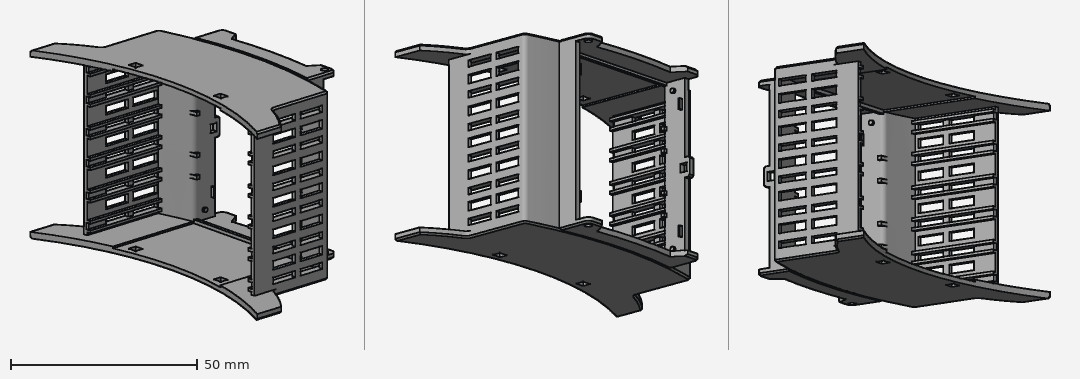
import cadquery as cq
import math

HALF_HEIGHT = 26.8
CHAMFER = 0.5
SELECT_REACH = 0.45

TIP_HALF_WIDTH = 44.85
FRONT_APEX_Y = 10.7
BACK_APEX_Y = 41.0
FRONT_RADIUS = (TIP_HALF_WIDTH ** 2 + FRONT_APEX_Y ** 2) / (2 * FRONT_APEX_Y)
ARC_CENTER_Y = FRONT_APEX_Y - FRONT_RADIUS
BACK_RADIUS = BACK_APEX_Y - ARC_CENTER_Y

PLATE_THICKNESS = 1.9
PLATE_INNER_Z = HALF_HEIGHT - PLATE_THICKNESS
FRONT_ALLOWANCE = 1.8
BODY_HALF_WIDTH = 33.6
BODY_CORNER_RADIUS = 1.4
WING_TIP_Y = 8.9
WING_ROOT_Y = 16.0
WING_BULGE = 0.45
WING_ROOT_FILLET = 1.8
RECESS_HALF_WIDTH = 21.2
RECESS_DEPTH = 0.5
WINDOW_X = 16.8
WINDOW_Y = 12.65
WINDOW_WIDTH = 2.8
WINDOW_LENGTH = 2.5

TAB_HALF_WIDTH = 22.5
TAB_THICKNESS = 1.6
TAB_INNER_Z = HALF_HEIGHT - TAB_THICKNESS
TAB_BACK_Y = 49.8
TAB_CORNER_RADIUS = 1.8
EAR_INNER_X = 17.2
EAR_FOOT_X = 14.7
TAB_MIDDLE_Y = 46.6
PIN_HOLE_X = 20.2
PIN_HOLE_Y = 47.45
PIN_HOLE_DIAMETER = 2.1
GROOVE_WIDTH = 0.3

RIDGE_FRONT_Y = 37.9
RIDGE_BACK_Y = 39.0
RIDGE_Z = 24.4

SIDE_WALL = 1.3
SIDE_INNER_X = BODY_HALF_WIDTH - SIDE_WALL
WALL_TOP_Z = HALF_HEIGHT - PLATE_THICKNESS / 2
SIDE_WALL_FRONT_Y = 9.3
BACK_WALL = 1.5
INNER_RADIUS = BACK_RADIUS - BACK_WALL
NECK_INNER_X = 20.9
NECK_ROUND_RADIUS = 1.4
LEFT_NECK_BACK_Y = 45.5
RIGHT_NECK_BACK_Y = 45.0

SLOT_LENGTH = 8.0
SLOT_FRONT_ENDS_Y = (16.3, 26.3)
LEFT_SLOT_EXTRA = 0.7
CARD_SLOT_HEIGHT = 1.9
VENT_SLOT_HEIGHT = 2.5
CARD_Z = (4.4, 13.6, 22.3)
VENT_Z = (0.0, 9.0, 17.9)
RAIL_THICKNESS = 0.8
RAIL_PROTRUSION = 1.2
CHANNEL_HEIGHT = 1.9
RAIL_OFFSET = (CHANNEL_HEIGHT + RAIL_THICKNESS) / 2
LEAD_IN_DEPTH = 0.3
LEAD_IN_LENGTH = 0.5

BUMP_X = 19.9
RIB_Z = (5.9, 12.2)
RIB_THICKNESS = 1.1
RIB_BACK_Y = 39.0
CATCH_Z = 17.9
CATCH_HEIGHT = 3.05
CATCH_LENGTH = 0.5
CATCH_SETBACK = 0.4
CATCH_BACK_Y = RIGHT_NECK_BACK_Y - CATCH_SETBACK
KNOB_X = 20.3
KNOB_Y = 41.5
KNOB_Z = 22.3
KNOB_DIAMETER = 1.35
CLIP_BACK_Y = 47.3
CLIP_HEIGHT = 5.7
CLIP_CORNER = 0.5
CLIP_WINDOW_FRONT_Y = 43.95
CLIP_WINDOW_BACK_Y = 46.2
CLIP_WINDOW_HEIGHT = 2.5


def box(x0, x1, y0, y1, z0, z1):
    """Box between two opposite corners."""
    return cq.Workplane("XY").box(x1 - x0, y1 - y0, z1 - z0, centered=False).translate((x0, y0, z0))


def disc(radius, z0, z1):
    """Upright disc about the common arc centre."""
    return cq.Workplane("XY", origin=(0, ARC_CENTER_Y, z0)).circle(radius).extrude(z1 - z0)


def both_ends(solid):
    """The solid together with its mirror image about Z = 0."""
    return solid.union(solid.mirror("XY"))


def both_sides(solid):
    """The solid together with its mirror image about X = 0."""
    return solid.union(solid.mirror("YZ"))


def arc_y(radius, x):
    """Y at a given X on an arc about the common centre."""
    return ARC_CENTER_Y + math.sqrt(radius ** 2 - x ** 2)


def near_y(y):
    """Selector for edges whose centre lies close to a given Y."""
    return cq.selectors.BoxSelector(
        (-TIP_HALF_WIDTH, y - SELECT_REACH, -HALF_HEIGHT),
        (TIP_HALF_WIDTH, y + SELECT_REACH, HALF_HEIGHT),
    )


def body_plate():
    """Upper end plate: a curved band with two wings, bevelled everywhere but along the front arc."""
    corner_y = arc_y(BACK_RADIUS, BODY_HALF_WIDTH)
    run = TIP_HALF_WIDTH - BODY_HALF_WIDTH
    rise = WING_ROOT_Y - WING_TIP_Y
    slant = math.hypot(run, rise)
    bulge_x = BODY_HALF_WIDTH + run / 2 + WING_BULGE * rise / slant
    bulge_y = WING_TIP_Y + rise / 2 + WING_BULGE * run / slant
    plate = (
        cq.Workplane("XY", origin=(0, 0, PLATE_INNER_Z))
        .moveTo(-TIP_HALF_WIDTH, -FRONT_ALLOWANCE)
        .lineTo(TIP_HALF_WIDTH, -FRONT_ALLOWANCE)
        .lineTo(TIP_HALF_WIDTH, WING_TIP_Y)
        .threePointArc((bulge_x, bulge_y), (BODY_HALF_WIDTH, WING_ROOT_Y))
        .lineTo(BODY_HALF_WIDTH, corner_y)
        .threePointArc((0, BACK_APEX_Y), (-BODY_HALF_WIDTH, corner_y))
        .lineTo(-BODY_HALF_WIDTH, WING_ROOT_Y)
        .threePointArc((-bulge_x, bulge_y), (-TIP_HALF_WIDTH, WING_TIP_Y))
        .close()
        .extrude(PLATE_THICKNESS)
    )
    plate = plate.edges("|Z").edges(near_y(corner_y)).fillet(BODY_CORNER_RADIUS)
    plate = plate.edges("|Z").edges(near_y(WING_ROOT_Y)).fillet(WING_ROOT_FILLET)
    plate = plate.faces(">Z").chamfer(CHAMFER)
    return plate.cut(disc(FRONT_RADIUS, 0, HALF_HEIGHT))


def hinge_tab():
    """Upper hinge tab with two ears, bevelled along its sides and the ends of the ears."""
    middle_radius = TAB_MIDDLE_Y - ARC_CENTER_Y
    foot_y = arc_y(middle_radius, EAR_FOOT_X)
    tab = box(-TAB_HALF_WIDTH, TAB_HALF_WIDTH, RIDGE_BACK_Y, TAB_BACK_Y, TAB_INNER_Z, HALF_HEIGHT)
    tab = tab.edges("|Z and >Y").fillet(TAB_CORNER_RADIUS)
    tab = tab.faces(">Z").edges("not <Y").chamfer(CHAMFER)
    notch = (
        cq.Workplane("XY", origin=(0, 0, TAB_INNER_Z))
        .moveTo(-EAR_FOOT_X, foot_y)
        .threePointArc((0, TAB_MIDDLE_Y), (EAR_FOOT_X, foot_y))
        .lineTo(EAR_INNER_X, TAB_BACK_Y)
        .lineTo(-EAR_INNER_X, TAB_BACK_Y)
        .close()
        .extrude(TAB_THICKNESS)
    )
    pin_hole = (
        cq.Workplane("XY", origin=(PIN_HOLE_X, PIN_HOLE_Y, TAB_INNER_Z))
        .circle(PIN_HOLE_DIAMETER / 2)
        .extrude(TAB_THICKNESS)
    )
    groove_cut = disc(BACK_RADIUS + GROOVE_WIDTH, HALF_HEIGHT - CHAMFER, HALF_HEIGHT)
    return tab.cut(notch).cut(pin_hole).cut(groove_cut)


def end_plate():
    """Upper end plate with its tab, recess, ridge and square windows."""
    recess = box(
        -RECESS_HALF_WIDTH, RECESS_HALF_WIDTH, 0, RIDGE_FRONT_Y, PLATE_INNER_Z, PLATE_INNER_Z + RECESS_DEPTH
    )
    ridge = box(
        -RECESS_HALF_WIDTH, RECESS_HALF_WIDTH, RIDGE_FRONT_Y, RIDGE_BACK_Y, RIDGE_Z, PLATE_INNER_Z
    )
    step = box(-NECK_INNER_X, NECK_INNER_X, RIDGE_BACK_Y, BACK_APEX_Y, PLATE_INNER_Z, TAB_INNER_Z)
    window = box(
        WINDOW_X - WINDOW_WIDTH / 2,
        WINDOW_X + WINDOW_WIDTH / 2,
        WINDOW_Y - WINDOW_LENGTH / 2,
        WINDOW_Y + WINDOW_LENGTH / 2,
        PLATE_INNER_Z,
        HALF_HEIGHT,
    )
    return body_plate().cut(recess).cut(step).union(hinge_tab()).union(ridge).cut(both_sides(window))


def body_walls():
    """Side walls and curved back walls, open at the front and between the neck walls."""

    def block(half_width, front_y, back_radius):
        solid = box(-half_width, half_width, front_y, BACK_APEX_Y, -WALL_TOP_Z, WALL_TOP_Z)
        return solid.intersect(disc(back_radius, -WALL_TOP_Z, WALL_TOP_Z))

    outside = block(BODY_HALF_WIDTH, SIDE_WALL_FRONT_Y, BACK_RADIUS)
    corner_y = arc_y(BACK_RADIUS, BODY_HALF_WIDTH)
    outside = outside.edges("|Z").edges(near_y(corner_y)).fillet(BODY_CORNER_RADIUS)
    return outside.cut(block(SIDE_INNER_X, 0, INNER_RADIUS))


def neck_wall(back_y):
    """Neck wall on the +X side, running from the back wall to the given Y."""
    front_y = arc_y(BACK_RADIUS - BACK_WALL / 2, TAB_HALF_WIDTH)
    return box(NECK_INNER_X, TAB_HALF_WIDTH, front_y, back_y, -WALL_TOP_Z, WALL_TOP_Z)


def walls():
    """All upright walls with the rounded corners where the back walls meet the neck walls."""
    opening = box(-NECK_INNER_X, NECK_INNER_X, 0, TAB_BACK_Y, -HALF_HEIGHT, HALF_HEIGHT)
    shell = body_walls().cut(opening)
    shell = shell.union(neck_wall(RIGHT_NECK_BACK_Y)).union(neck_wall(LEFT_NECK_BACK_Y).mirror("YZ"))
    corner_y = arc_y(INNER_RADIUS, NECK_INNER_X)
    reach = NECK_INNER_X + SELECT_REACH
    inner_edges = cq.selectors.BoxSelector(
        (-reach, 0, -HALF_HEIGHT), (reach, TAB_BACK_Y, HALF_HEIGHT)
    )
    return shell.edges("|Z").edges(near_y(corner_y)).edges(inner_edges).fillet(NECK_ROUND_RADIUS)


def rail(z):
    """Card rail along the inside of the +X wall, centred on a given Z."""
    back_y = arc_y(BACK_RADIUS - BACK_WALL / 2, SIDE_INNER_X)
    return box(
        SIDE_INNER_X - RAIL_PROTRUSION,
        SIDE_INNER_X,
        SIDE_WALL_FRONT_Y,
        back_y,
        z - RAIL_THICKNESS / 2,
        z + RAIL_THICKNESS / 2,
    )


def lead_in(z):
    """Bevel on the front edge of the +X wall, between the two rails about a given Z."""
    return (
        cq.Workplane("XY", origin=(0, 0, z - CHANNEL_HEIGHT / 2))
        .moveTo(SIDE_INNER_X, SIDE_WALL_FRONT_Y)
        .lineTo(SIDE_INNER_X + LEAD_IN_DEPTH, SIDE_WALL_FRONT_Y)
        .lineTo(SIDE_INNER_X, SIDE_WALL_FRONT_Y + LEAD_IN_LENGTH)
        .close()
        .extrude(CHANNEL_HEIGHT)
    )


def slot_row(z, height):
    """Ventilation slots through both side walls at a given Z."""
    front_y, rear_y = SLOT_FRONT_ENDS_Y
    low, high = z - height / 2, z + height / 2
    front = box(SIDE_INNER_X, BODY_HALF_WIDTH, front_y, front_y + SLOT_LENGTH, low, high)
    rear = box(SIDE_INNER_X, BODY_HALF_WIDTH, rear_y, rear_y + SLOT_LENGTH, low, high)
    left_rear_end = rear_y + SLOT_LENGTH + LEFT_SLOT_EXTRA
    left_rear = box(-BODY_HALF_WIDTH, -SIDE_INNER_X, rear_y, left_rear_end, low, high)
    return both_sides(front.union(rear)).union(left_rear)


def add_rails_and_slots(shell):
    """The walls with card rails, lead-in bevels and ventilation slots."""
    for z in CARD_Z:
        rails = rail(z - RAIL_OFFSET).union(rail(z + RAIL_OFFSET))
        shell = shell.union(both_ends(both_sides(rails)))
        shell = shell.cut(both_ends(both_sides(lead_in(z))))
        shell = shell.cut(both_ends(slot_row(z, CARD_SLOT_HEIGHT)))
    for z in VENT_Z:
        shell = shell.cut(both_ends(slot_row(z, VENT_SLOT_HEIGHT)))
    return shell


def neck_details():
    """Ribs, catches and knobs on the inside of both neck walls."""
    details = box(
        BUMP_X,
        NECK_INNER_X,
        CATCH_BACK_Y - CATCH_LENGTH,
        CATCH_BACK_Y,
        CATCH_Z - CATCH_HEIGHT / 2,
        CATCH_Z + CATCH_HEIGHT / 2,
    )
    knob = (
        cq.Workplane("YZ", origin=(KNOB_X, KNOB_Y, KNOB_Z))
        .circle(KNOB_DIAMETER / 2)
        .extrude(TAB_HALF_WIDTH - KNOB_X)
    )
    details = details.union(knob)
    for z in RIB_Z:
        low, high = z - RIB_THICKNESS / 2, z + RIB_THICKNESS / 2
        rib = box(BUMP_X, TAB_HALF_WIDTH, 0, RIB_BACK_Y, low, high)
        details = details.union(rib.cut(disc(INNER_RADIUS, low, high)))
    return both_ends(both_sides(details))


def clip():
    """Clip plate that extends the -X neck wall backwards."""
    plate = box(
        -TAB_HALF_WIDTH, -NECK_INNER_X, CLIP_WINDOW_FRONT_Y, CLIP_BACK_Y, -CLIP_HEIGHT / 2, CLIP_HEIGHT / 2
    )
    return plate.edges("|X and >Y").chamfer(CLIP_CORNER)


def clip_window():
    """Opening through the clip plate."""
    return box(
        -TAB_HALF_WIDTH,
        -NECK_INNER_X,
        CLIP_WINDOW_FRONT_Y,
        CLIP_WINDOW_BACK_Y,
        -CLIP_WINDOW_HEIGHT / 2,
        CLIP_WINDOW_HEIGHT / 2,
    )


shell = add_rails_and_slots(walls()).union(neck_details())
shell = shell.union(clip()).cut(clip_window())
result = shell.union(both_ends(end_plate()))